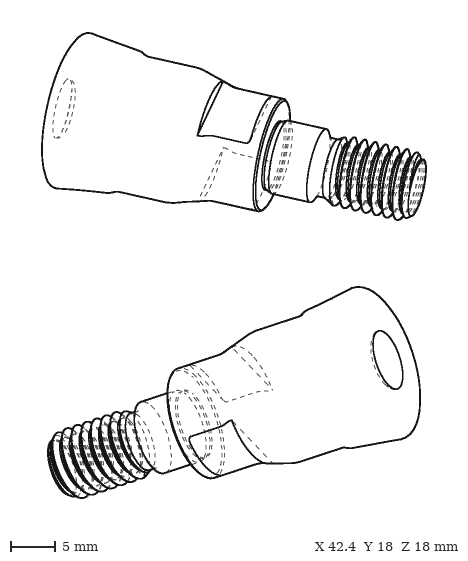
import cadquery as cq
import math

LENGTH = 42.4

HEAD_DIAMETER = 17.95
HEAD_RADIUS = HEAD_DIAMETER / 2
HEAD_WIDEST_X = 1.75
CROWN_CENTRE_RADIUS = 5.4
CROWN_ARC_RADIUS = 5.72
CROWN_RING_RADII = [3.45, 4.1, 4.62, 5.3, 5.45, 5.95, 6.45, 6.7, 7.1, 7.35, 7.45, 7.85, 8.55]
HEAD_EDGE_ROUND = 0.9
HEAD_SHOULDER_X = 2.4
HEAD_SHOULDER_RADIUS = 8.85
HEAD_END_X = 7.67
HEAD_END_DIAMETER = 16.4
HEAD_END_RADIUS = HEAD_END_DIAMETER / 2
HEAD_END_BLEND = 0.95

BODY_DIAMETER = 15.6
BODY_RADIUS = BODY_DIAMETER / 2
BODY_START_X = 8.52
BODY_START_BLEND = 1.27
TAPER_START_X = 14.85
FLANGE_DIAMETER = 13.0
FLANGE_RADIUS = FLANGE_DIAMETER / 2
TAPER_END_X = 19.38
TAPER_BLEND = 2.95
FLANGE_END_X = 25.3
FLANGE_CHAMFER = 0.2

SPIGOT_RADIUS = 4.25
SPIGOT_TIP_RADIUS = 4.0
SPIGOT_TIP_X = 25.55
SPIGOT_START_X = 26.2
SPIGOT_END_X = 30.7
NECK_RADIUS = 3.4
NECK_START_X = 31.2
NECK_BLEND = 0.2
NECK_END_X = 32.3

THREAD_RADIUS = 4.03
THREAD_ROOT_RADIUS = 3.2
THREAD_RUNIN_ANGLE = 30.0
THREAD_TIP_RADIUS = 3.25
THREAD_TIP_ANGLE = 35.0
GROOVE_ROOT_WIDTH = 0.2
GROOVE_HALF_ANGLE = 30.0
GROOVE_START_X = 32.8
GROOVE_START_ANGLE = -45.0
GROOVE_TURNS = 8
GROOVE_LENGTH = 10.0
THREAD_PITCH = GROOVE_LENGTH / GROOVE_TURNS
CUTTER_OVERSIZE = 0.02

CORNER_SEARCH = 0.1

FLAT_HEIGHT = 5.05
FLAT_START_X = 17.9
FLAT_END_X = 23.85
FLAT_RAMP_LENGTH = 0.4
FLAT_RAMP_RISE = 0.065
FLAT_FILLET = 0.42

POCKET_FLOOR_RADIUS = 2.9
POCKET_DEPTH = 0.95
POCKET_LIP_ROUND = 0.75
CENTRE_DIAMETER = 1.4
CENTRE_RADIUS = CENTRE_DIAMETER / 2
CENTRE_DEPTH = 1.3
CENTRE_TIP_RADIUS = 0.35
CENTRE_TIP_DEPTH = 1.35


def crown_x(radius):
    """X position of the domed head face at a given radius."""
    offset = radius - CROWN_CENTRE_RADIUS
    return CROWN_ARC_RADIUS - math.sqrt(CROWN_ARC_RADIUS**2 - offset**2)


def turned_blank():
    runin = (THREAD_RADIUS - NECK_RADIUS) / math.tan(math.radians(THREAD_RUNIN_ANGLE))
    tip = (THREAD_RADIUS - THREAD_TIP_RADIUS) / math.tan(math.radians(THREAD_TIP_ANGLE))
    crown_rings = [(crown_x(radius), radius) for radius in CROWN_RING_RADII]
    outline = (
        cq.Workplane("XY")
        .moveTo(CENTRE_TIP_DEPTH, 0)
        .lineTo(CENTRE_TIP_DEPTH, CENTRE_TIP_RADIUS)
        .lineTo(CENTRE_DEPTH, CENTRE_RADIUS)
        .lineTo(POCKET_DEPTH, POCKET_FLOOR_RADIUS)
        .radiusArc(crown_rings[0], -POCKET_LIP_ROUND)
        .polyline(crown_rings[1:], includeCurrent=True)
        .radiusArc((HEAD_WIDEST_X, HEAD_RADIUS), HEAD_EDGE_ROUND)
        .lineTo(HEAD_SHOULDER_X, HEAD_SHOULDER_RADIUS)
        .lineTo(HEAD_END_X, HEAD_END_RADIUS)
        .lineTo(BODY_START_X, BODY_RADIUS)
        .lineTo(TAPER_START_X, BODY_RADIUS)
        .lineTo(TAPER_END_X, FLANGE_RADIUS)
        .lineTo(FLANGE_END_X - FLANGE_CHAMFER, FLANGE_RADIUS)
        .lineTo(FLANGE_END_X, FLANGE_RADIUS - FLANGE_CHAMFER)
        .lineTo(FLANGE_END_X, SPIGOT_TIP_RADIUS)
        .lineTo(SPIGOT_TIP_X, SPIGOT_TIP_RADIUS)
        .lineTo(SPIGOT_START_X, SPIGOT_RADIUS)
        .lineTo(SPIGOT_END_X, SPIGOT_RADIUS)
        .lineTo(NECK_START_X, NECK_RADIUS)
        .lineTo(NECK_END_X, NECK_RADIUS)
        .lineTo(NECK_END_X + runin, THREAD_RADIUS)
        .lineTo(LENGTH - tip, THREAD_RADIUS)
        .lineTo(LENGTH, THREAD_TIP_RADIUS)
        .lineTo(LENGTH, 0)
        .close()
    )
    return outline.revolve(360, (0, 0, 0), (1, 0, 0))


def blend_turned_corner(body, x, radius):
    corner = cq.selectors.BoxSelector(
        (x - CORNER_SEARCH, -CORNER_SEARCH, -CORNER_SEARCH),
        (x + CORNER_SEARCH, CORNER_SEARCH, CORNER_SEARCH),
    )
    return body.edges(corner).fillet(radius)


def thread_groove():
    outer = THREAD_RADIUS + CUTTER_OVERSIZE
    root_half = GROOVE_ROOT_WIDTH / 2
    outer_half = root_half + (outer - THREAD_ROOT_RADIUS) * math.tan(math.radians(GROOVE_HALF_ANGLE))
    helix = cq.Wire.makeHelix(THREAD_PITCH, GROOVE_LENGTH, THREAD_ROOT_RADIUS)
    groove = (
        cq.Workplane("XZ")
        .polyline([
            (THREAD_ROOT_RADIUS, -root_half),
            (outer, -outer_half),
            (outer, outer_half),
            (THREAD_ROOT_RADIUS, root_half),
        ])
        .close()
        .sweep(cq.Workplane(obj=helix), isFrenet=True)
    )
    along_axis = groove.rotate((0, 0, 0), (0, 1, 0), 90).rotate((0, 0, 0), (1, 0, 0), GROOVE_START_ANGLE)
    return along_axis.translate((GROOVE_START_X, 0, 0))


def wrench_flat():
    profile = (
        cq.Workplane("XZ")
        .moveTo(FLAT_START_X, HEAD_RADIUS)
        .lineTo(FLAT_START_X, FLAT_HEIGHT + FLAT_RAMP_RISE)
        .lineTo(FLAT_START_X + FLAT_RAMP_LENGTH, FLAT_HEIGHT)
        .lineTo(FLAT_END_X - FLAT_FILLET, FLAT_HEIGHT)
        .radiusArc((FLAT_END_X, FLAT_HEIGHT + FLAT_FILLET), -FLAT_FILLET)
        .lineTo(FLAT_END_X, HEAD_RADIUS)
        .close()
    )
    return profile.extrude(HEAD_RADIUS, both=True)


TURNED_BLENDS = [
    (HEAD_END_X, HEAD_END_BLEND),
    (BODY_START_X, BODY_START_BLEND),
    (TAPER_START_X, TAPER_BLEND),
    (TAPER_END_X, TAPER_BLEND),
    (NECK_START_X, NECK_BLEND),
]

result = turned_blank()
for corner_x, blend_radius in TURNED_BLENDS:
    result = blend_turned_corner(result, corner_x, blend_radius)
result = result.cut(thread_groove())
top_flat = wrench_flat()
result = result.cut(top_flat).cut(top_flat.mirror("XY"))